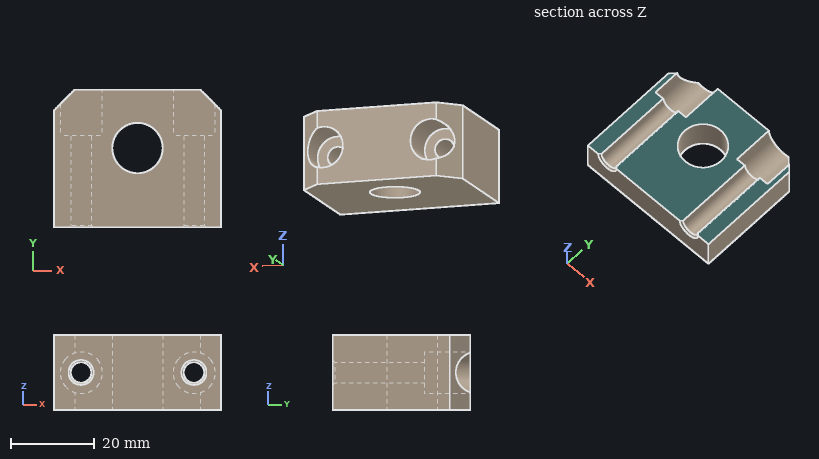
import cadquery as cq

width = 40.0
depth = 33.0
height = 18.0
corner_chamfer = 5.0

bore_diameter = 12.0
bore_from_front = 19.0

screw_spacing = 27.0
screw_diameter = 4.9
countersink_diameter = 6.0
countersink_depth = (countersink_diameter - screw_diameter) / 2
counterbore_diameter = 10.0
counterbore_depth = 11.0


def make_block():
    """Block with its two rear vertical edges chamfered."""
    block = cq.Workplane("XY").box(width, depth, height, centered=(True, False, False))
    return block.edges("|Z and >Y").chamfer(corner_chamfer)


def make_bore():
    """Round cutter passing vertically through the block."""
    return cq.Workplane("XY").center(0, bore_from_front).circle(bore_diameter / 2).extrude(height)


def make_screw_hole(x):
    """Stepped cutter: front countersink, through hole and rear counterbore."""
    profile = [
        (0, 0),
        (countersink_diameter / 2, 0),
        (screw_diameter / 2, countersink_depth),
        (screw_diameter / 2, depth - counterbore_depth),
        (counterbore_diameter / 2, depth - counterbore_depth),
        (counterbore_diameter / 2, depth),
        (0, depth),
    ]
    cutter = cq.Workplane("XY").polyline(profile).close().revolve(360, (0, 0), (0, 1))
    return cutter.translate((x, 0, height / 2))


result = make_block().cut(make_bore())
for side in (-1, 1):
    result = result.cut(make_screw_hole(side * screw_spacing / 2))